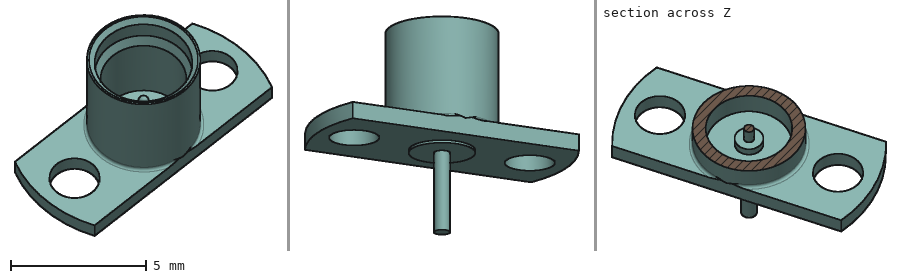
import cadquery as cq

flange_length = 10.12
flange_width = 4.19
flange_thickness = 0.64
mount_hole_diameter = 1.85
mount_hole_spacing = 7.15

barrel_diameter = flange_width
barrel_top = 4.52
foot_fillet = 0.12
foot_dip_half_width = 0.43

mouth_diameter = 4.03
entry_diameter = 3.6
bore_diameter = 3.18
mouth_depth = 0.18
entry_depth = 0.68
taper_depth = 0.33
floor_z = flange_thickness

insulator_diameter = 1.06
insulator_height = 0.3
contact_diameter = 0.38
contact_height = 1.62

pad_diameter = 2.46
pad_thickness = 0.1
tail_diameter = 0.61
tail_bottom = -3.18


def cylinder(diameter, bottom, top):
    return cq.Workplane("XY").workplane(offset=bottom).circle(diameter / 2).extrude(top - bottom)


def make_flange():
    """Disc with two flat sides and a mounting hole near each end."""
    disc = cylinder(flange_length, 0, flange_thickness)
    strip = cq.Workplane("XY").rect(flange_width, flange_length).extrude(flange_thickness)
    holes = (
        cq.Workplane("XY")
        .pushPoints([(0, -mount_hole_spacing / 2), (0, mount_hole_spacing / 2)])
        .circle(mount_hole_diameter / 2)
        .extrude(flange_thickness)
    )
    return disc.intersect(strip).cut(holes)


def make_foot():
    """Concave ring around the barrel foot, fading out where the barrel meets the flange sides."""
    barrel_radius = barrel_diameter / 2
    foot_radius = barrel_radius + foot_fillet
    ring = (
        cq.Workplane("XZ")
        .moveTo(0, 0)
        .lineTo(foot_radius, 0)
        .lineTo(foot_radius, flange_thickness)
        .radiusArc((barrel_radius, flange_thickness + foot_fillet), foot_fillet)
        .lineTo(0, flange_thickness + foot_fillet)
        .close()
        .revolve(360, (0, 0, 0), (0, 1, 0))
    )
    strip = cq.Workplane("XY").rect(flange_width, flange_length).extrude(barrel_top)
    foot_top = flange_thickness + foot_fillet
    dips = (
        cq.Workplane("YZ")
        .moveTo(0, flange_thickness)
        .lineTo(foot_dip_half_width, foot_top)
        .lineTo(-foot_dip_half_width, foot_top)
        .close()
        .extrude(flange_width, both=True)
    )
    return ring.intersect(strip).cut(dips)


def make_bore():
    """Chamfered mouth, straight entry, taper and deep bore."""
    entry_top = barrel_top - mouth_depth
    entry_bottom = entry_top - entry_depth
    taper_bottom = entry_bottom - taper_depth
    return (
        cq.Workplane("XZ")
        .moveTo(0, floor_z)
        .lineTo(bore_diameter / 2, floor_z)
        .lineTo(bore_diameter / 2, taper_bottom)
        .lineTo(entry_diameter / 2, entry_bottom)
        .lineTo(entry_diameter / 2, entry_top)
        .lineTo(mouth_diameter / 2, barrel_top)
        .lineTo(0, barrel_top)
        .close()
        .revolve(360, (0, 0, 0), (0, 1, 0))
    )


def make_contact():
    """Round-nosed pin standing on the bore floor."""
    nose_radius = contact_diameter / 2
    nose_z = floor_z + contact_height - nose_radius
    nose = cq.Workplane("XY").sphere(nose_radius).translate((0, 0, nose_z))
    return cylinder(contact_diameter, 0, nose_z).union(nose)


result = (
    make_flange()
    .union(cylinder(barrel_diameter, 0, barrel_top))
    .union(make_foot())
    .cut(make_bore())
    .union(cylinder(insulator_diameter, 0, floor_z + insulator_height))
    .union(make_contact())
    .union(cylinder(pad_diameter, -pad_thickness, flange_thickness))
    .union(cylinder(tail_diameter, tail_bottom, 0))
)